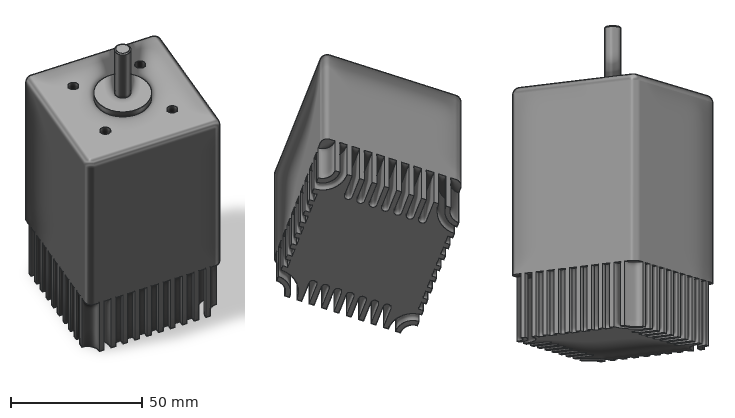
import cadquery as cq
import math

width = 57.0
total_height = 123.0

fin_height = 25.0
housing_height = 73.0
edge_radius = 3.0

boss_diameter = 22.0
boss_height = 2.6
shaft_diameter = 6.3
shaft_chamfer = 0.5

hole_spacing = 28.3
hole_diameter = 4.2
hole_depth = 10.0
drill_point_angle = 118.0

fin_thickness = 2.0
corner_notch_radius = 5.0
corner_slot_radius = 10.0
slots_per_side = 7
round_slot_depth = 10.0
flat_slot_depth = 2.0

half_width = width / 2
housing_top = fin_height + housing_height
boss_top = housing_top + boss_height
shaft_length = total_height - boss_top
corner_fin_radius = corner_notch_radius + fin_thickness
slot_pitch = (width - 2 * corner_slot_radius - fin_thickness) / slots_per_side
slot_width = slot_pitch - fin_thickness
slot_offsets = [(i - (slots_per_side - 1) / 2) * slot_pitch for i in range(slots_per_side)]
round_slot_floor = half_width - round_slot_depth
corners = [(x, y) for x in (-half_width, half_width) for y in (-half_width, half_width)]


def make_housing():
    """Square block with rounded upright and top edges."""
    block = cq.Workplane("XY").workplane(offset=fin_height).rect(width, width).extrude(housing_height)
    return block.edges("|Z").fillet(edge_radius).faces(">Z").edges().fillet(edge_radius)


def make_boss_and_shaft():
    """Pilot boss with the chamfered shaft on top of it."""
    boss = cq.Workplane("XY").workplane(offset=housing_top).circle(boss_diameter / 2).extrude(boss_height)
    shaft = cq.Workplane("XY").workplane(offset=boss_top).circle(shaft_diameter / 2).extrude(shaft_length)
    return boss.union(shaft.faces(">Z").edges().chamfer(shaft_chamfer))


def make_mounting_holes():
    """Four blind holes with conical drill points, as a solid to cut away."""
    radius = hole_diameter / 2
    point_depth = radius / math.tan(math.radians(drill_point_angle / 2))
    drill = (
        cq.Workplane("XZ")
        .moveTo(0, 0)
        .lineTo(radius, 0)
        .lineTo(radius, -hole_depth)
        .lineTo(0, -hole_depth - point_depth)
        .close()
        .revolve(360, (0, 0, 0), (0, 1, 0))
        .val()
    )
    top_face = cq.Workplane("XY").workplane(offset=housing_top)
    places = top_face.rect(hole_spacing, hole_spacing, forConstruction=True)
    return places.vertices().eachpoint(lambda place: drill.moved(place), combine=False)


def make_round_slot(x):
    """Slot in the -Y side whose floor is a half circle."""
    radius = slot_width / 2
    floor_start = -round_slot_floor - radius
    return (
        cq.Workplane("XY")
        .moveTo(x - radius, -half_width)
        .lineTo(x - radius, floor_start)
        .threePointArc((x, -round_slot_floor), (x + radius, floor_start))
        .lineTo(x + radius, -half_width)
        .close()
        .extrude(fin_height)
    )


def make_flat_slot(y):
    """Slot in the -X side with a flat floor."""
    middle = -half_width + flat_slot_depth / 2
    return cq.Workplane("XY").center(middle, y).rect(flat_slot_depth, slot_width).extrude(fin_height)


def make_heat_sink():
    """Square block cut into fins; the cuts at a corner share the corner as their centre."""
    sink = cq.Workplane("XY").rect(width, width).extrude(fin_height)
    corner_points = cq.Workplane("XY").pushPoints(corners)
    sink = sink.cut(corner_points.circle(corner_slot_radius).circle(corner_fin_radius).extrude(fin_height))
    sink = sink.cut(corner_points.circle(corner_notch_radius).extrude(fin_height))
    for offset in slot_offsets:
        for slot in (make_round_slot(offset), make_flat_slot(offset)):
            opposite_slot = slot.rotate((0, 0, 0), (0, 0, 1), 180)
            sink = sink.cut(slot).cut(opposite_slot)
    return sink


motor = make_housing().union(make_boss_and_shaft()).cut(make_mounting_holes())
result = motor.union(make_heat_sink())